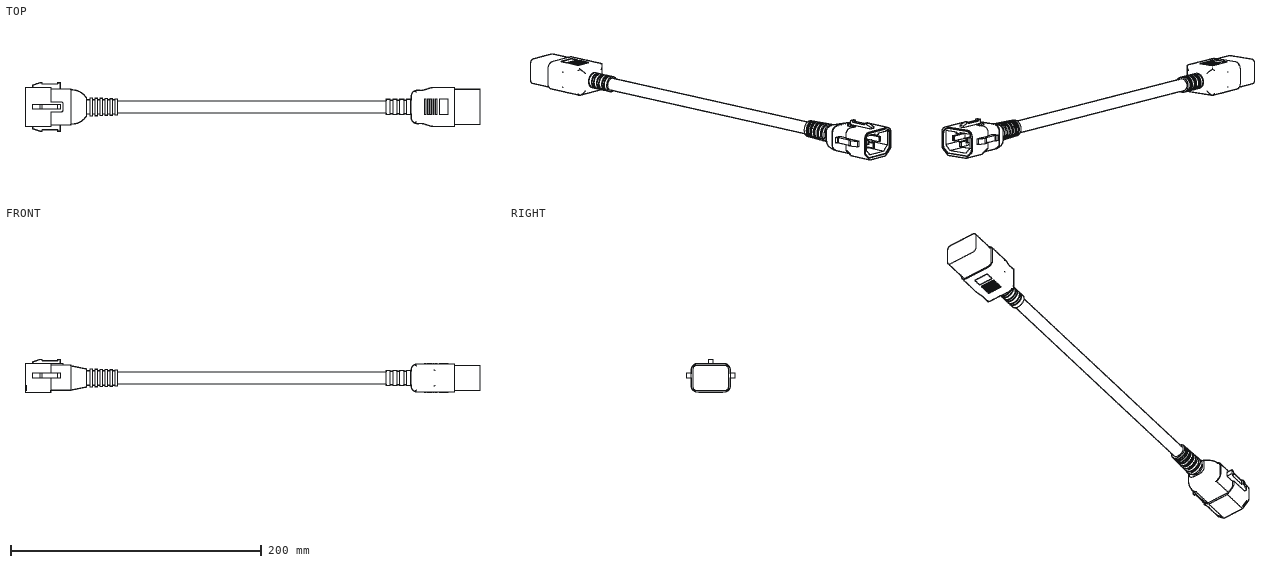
import cadquery as cq

TOTAL_LENGTH = 363.2
TOTAL_WIDTH = 39.0
CABLE_DIAMETER = 9.8

SHROUD_LENGTH = 20.5
SHROUD_HALF_WIDTH = 15.5
SHROUD_TOP = 11.5
SHROUD_BOTTOM = -SHROUD_TOP
GRIP_END = 36.5
GRIP_HALF_WIDTH = 14.5
GRIP_TOP = 10.5
GRIP_BOTTOM = -9.8
TOP_CORNER_RADIUS = 5.0
BEVEL_TOP = -5.8
BEVEL_WIDTH_PER_HEIGHT = 1.1
BEVEL_EDGE_RADIUS = 3.3

TONGUE_END = 30.0
TONGUE_WIDTH = 8.0
TONGUE_CORNER_RADIUS = 1.5

CAVITY_DEPTH = 17.5
CAVITY_HALF_WIDTH = 12.5
CAVITY_TOP = 8.5
CAVITY_BOTTOM = -7.5
CAVITY_BEVEL = 4.5
CAVITY_KEY_WIDTH = 4.0
CAVITY_KEY_HEIGHT = 1.0

RIM_RECESS = 1.0

PIN_TIP = 3.5
PIN_TIP_CHAMFER = 0.7
PIN_THICKNESS = 2.0
PIN_HEIGHT = 4.0
PIN_SPACING = 7.0
PIN_HEIGHT_OFFSET = PIN_HEIGHT / 2

LATCH_START = 5.8
LATCH_END = 28.0
LATCH_RIDGE_START = 11.5
LATCH_RIDGE_END = 13.5
LATCH_TOOTH_START = 25.8
LATCH_LEAD_IN_DROP = 2.0
LATCH_SEAT_DROP = 1.0
LATCH_ROOT_DROP = 5.8
TOP_LATCH_REACH = SHROUD_TOP + 3.3
TOP_LATCH_WIDTH = 3.5
SIDE_LATCH_REACH = TOTAL_WIDTH / 2
SIDE_LATCH_WIDTH = 4.5
SIDE_LATCH_HEIGHT = 2.0

NECK_END = 49.0
NECK_START_HALF_WIDTH = 13.8
NECK_MIDDLE = (44.0, 12.0)
NECK_END_SLOPE = -1.2
NECK_END_HALF_WIDTH = 7.3
NECK_START_TOP = 9.8
NECK_START_BOTTOM = -NECK_START_TOP
NECK_EDGE_RADIUS = 4.5

INLET_RELIEF_END = 73.7
INLET_RELIEF_CORE_RADIUS = 5.8
INLET_RING_COUNT = 6
INLET_RING_PITCH = 4.0
INLET_RING_WIDTH = 2.0
INLET_RING_FIRST_RADIUS = 7.3
INLET_RING_LAST_RADIUS = 6.5
OUTLET_RELIEF_START = 288.0
OUTLET_RELIEF_CORE_RADIUS = 5.5
OUTLET_RING_COUNT = 4
OUTLET_RING_PITCH = 5.5
OUTLET_RING_WIDTH = 3.3
OUTLET_RING_RADIUS = 6.0

OUTLET_BODY_START = 308.0
COLLAR_START = 327.5
COLLAR_END = 343.0
COLLAR_HALF_WIDTH = 15.5
OUTLET_HALF_HEIGHT = 11.3
COLLAR_CORNER_RADIUS = 5.0
BODY_HALF_WIDTH = 13.5
BODY_CORNER_RADIUS = 2.0
BODY_END_RADIUS = 5.0
FLARE_START = 314.0
FLARE_LOW = 319.0
FLARE_LOW_HALF_WIDTH = 13.8
FLARE_LOW_CORNER_RADIUS = 3.0
FLARE_HIGH = 323.3
FLARE_HIGH_HALF_WIDTH = 15.3
FLARE_HIGH_CORNER_RADIUS = 4.5
NOSE_HALF_WIDTH = 14.0
NOSE_HALF_HEIGHT = 10.0
NOSE_CORNER_RADIUS = 3.3


RAISED_HEIGHT = 0.5
BUTTON_RIB_START = 319.0
BUTTON_RIB_COUNT = 5
BUTTON_RIB_PITCH = 2.0
BUTTON_RIB_WIDTH = 1.0
BUTTON_WIDTH = 12.5
BUTTON_PAD_START = 331.0
BUTTON_PAD_END = 337.5


def box(x_start, x_end, y_start, y_end, z_start, z_end):
    """Box between opposite corners."""
    size = (x_end - x_start, y_end - y_start, z_end - z_start)
    return cq.Workplane("XY").box(*size, centered=False).translate((x_start, y_start, z_start))


def rod(x_start, x_end, radius):
    """Cylinder on the X axis."""
    return cq.Workplane("YZ", origin=(x_start, 0, 0)).circle(radius).extrude(x_end - x_start)


def bevelled_block(x_start, x_end, half_width, top, bottom, bevel_top, bevel_width):
    """Block along X whose two lower corners are cut off at a slant."""
    outline = [
        (-half_width, top),
        (half_width, top),
        (half_width, bevel_top),
        (half_width - bevel_width, bottom),
        (bevel_width - half_width, bottom),
        (-half_width, bevel_top),
    ]
    return cq.Workplane("YZ", origin=(x_start, 0, 0)).polyline(outline).close().extrude(x_end - x_start)


def inlet_block(x_start, x_end, half_width, top, bottom):
    """Length of the inlet housing with rounded top corners and soft bevels."""
    bevel_width = (BEVEL_TOP - bottom) * BEVEL_WIDTH_PER_HEIGHT
    block = bevelled_block(x_start, x_end, half_width, top, bottom, BEVEL_TOP, bevel_width)
    block = block.edges("|X and (>Y or <Y)").edges("<Z").fillet(BEVEL_EDGE_RADIUS)
    return block.edges("|X and >Z").fillet(TOP_CORNER_RADIUS)


def latch(reach, width):
    """Latch arm standing up in Z, centred on the middle plane: ramp, ridge, seat and tooth."""
    root = reach - LATCH_ROOT_DROP
    seat = reach - LATCH_SEAT_DROP
    profile = [
        (LATCH_START, root),
        (LATCH_START, reach - LATCH_LEAD_IN_DROP),
        (LATCH_RIDGE_START, reach),
        (LATCH_RIDGE_END, reach),
        (LATCH_RIDGE_END, seat),
        (LATCH_TOOTH_START, seat),
        (LATCH_TOOTH_START, reach),
        (LATCH_END, reach),
        (LATCH_END, root),
    ]
    return cq.Workplane("XZ").polyline(profile).close().extrude(width / 2, both=True)


def latches():
    """One latch on top and one on either side."""
    arms = latch(TOP_LATCH_REACH, TOP_LATCH_WIDTH)
    for angle in (-90, 90):
        side_arm = latch(SIDE_LATCH_REACH, SIDE_LATCH_WIDTH).rotate((0, 0, 0), (1, 0, 0), angle)
        arms = arms.union(side_arm.translate((0, 0, SIDE_LATCH_HEIGHT)))
    return arms


def neck():
    """Hull narrowing from the grip to the strain relief in both directions."""
    plan = (
        cq.Workplane("XY", origin=(0, 0, NECK_START_BOTTOM))
        .moveTo(GRIP_END, 0)
        .lineTo(GRIP_END, NECK_START_HALF_WIDTH)
        .spline(
            [NECK_MIDDLE, (NECK_END, NECK_END_HALF_WIDTH)],
            tangents=[(1, 0), (1, NECK_END_SLOPE)],
            includeCurrent=True,
        )
        .lineTo(NECK_END, 0)
        .mirrorX()
        .extrude(NECK_START_TOP - NECK_START_BOTTOM)
    )
    side_outline = [
        (GRIP_END, NECK_START_TOP),
        (NECK_END, NECK_END_HALF_WIDTH),
        (NECK_END, -NECK_END_HALF_WIDTH),
        (GRIP_END, NECK_START_BOTTOM),
    ]
    side = cq.Workplane("XZ").polyline(side_outline).close().extrude(NECK_START_HALF_WIDTH, both=True)
    return plan.intersect(side).edges("not(|Y or |Z)").fillet(NECK_EDGE_RADIUS)


def pins():
    """Three flat contact pins reaching forward from the cavity floor."""
    places = [
        (-PIN_SPACING, PIN_HEIGHT_OFFSET),
        (PIN_SPACING, PIN_HEIGHT_OFFSET),
        (0, -PIN_HEIGHT_OFFSET),
    ]
    return (
        cq.Workplane("YZ", origin=(PIN_TIP, 0, 0))
        .pushPoints(places)
        .rect(PIN_THICKNESS, PIN_HEIGHT)
        .extrude(CAVITY_DEPTH - PIN_TIP)
        .faces("<X")
        .edges()
        .chamfer(PIN_TIP_CHAMFER)
    )


def inlet_relief():
    """Core with evenly spaced rings that shrink towards the cable."""
    relief = rod(NECK_END, INLET_RELIEF_END, INLET_RELIEF_CORE_RADIUS)
    shrink = (INLET_RING_FIRST_RADIUS - INLET_RING_LAST_RADIUS) / (INLET_RING_COUNT - 1)
    for index in range(INLET_RING_COUNT):
        ring_end = INLET_RELIEF_END - (INLET_RING_COUNT - 1 - index) * INLET_RING_PITCH
        radius = INLET_RING_FIRST_RADIUS - index * shrink
        relief = relief.union(rod(ring_end - INLET_RING_WIDTH, ring_end, radius))
    return relief


def cavity():
    """Hollow around the pins with bevelled lower corners and a key rib along its roof."""
    hollow = bevelled_block(
        0,
        CAVITY_DEPTH,
        CAVITY_HALF_WIDTH,
        CAVITY_TOP,
        CAVITY_BOTTOM,
        CAVITY_BOTTOM + CAVITY_BEVEL,
        CAVITY_BEVEL,
    )
    key = box(
        0,
        CAVITY_DEPTH,
        -CAVITY_KEY_WIDTH / 2,
        CAVITY_KEY_WIDTH / 2,
        CAVITY_TOP - CAVITY_KEY_HEIGHT,
        CAVITY_TOP,
    )
    return hollow.cut(key)


def make_inlet():
    """Housing with its neck, strain relief and latches, hollowed out around the pins."""
    housing = inlet_block(0, SHROUD_LENGTH, SHROUD_HALF_WIDTH, SHROUD_TOP, SHROUD_BOTTOM)
    housing = housing.union(
        inlet_block(SHROUD_LENGTH, GRIP_END, GRIP_HALF_WIDTH, GRIP_TOP, GRIP_BOTTOM)
    )
    tongue = box(SHROUD_LENGTH, TONGUE_END, -TONGUE_WIDTH / 2, TONGUE_WIDTH / 2, 0, SHROUD_TOP)
    tongue = tongue.edges("|Z and >X").fillet(TONGUE_CORNER_RADIUS)
    housing = housing.union(tongue).union(latches()).union(neck()).union(inlet_relief())
    rim = inlet_block(0, RIM_RECESS, GRIP_HALF_WIDTH, GRIP_TOP, GRIP_BOTTOM)
    return housing.cut(rim).cut(cavity()).union(pins())


def make_cable():
    """Round cable butting against both strain reliefs."""
    return rod(INLET_RELIEF_END, OUTLET_RELIEF_START, CABLE_DIAMETER / 2)


def rounded_bar(x_start, x_end, half_width, half_height, corner_radius):
    """Rectangular bar along X with rounded long edges."""
    bar = box(x_start, x_end, -half_width, half_width, -half_height, half_height)
    return bar.edges("|X").fillet(corner_radius)


def rounded_end():
    """Cable end of the outlet body, its end edges rounded in plan and in height."""
    bar = rounded_bar(
        OUTLET_BODY_START, FLARE_START, BODY_HALF_WIDTH, OUTLET_HALF_HEIGHT, BODY_CORNER_RADIUS
    )
    block = box(
        OUTLET_BODY_START,
        FLARE_START,
        -BODY_HALF_WIDTH,
        BODY_HALF_WIDTH,
        -OUTLET_HALF_HEIGHT,
        OUTLET_HALF_HEIGHT,
    )
    round_in_plan = block.edges("|Z and <X").fillet(BODY_END_RADIUS)
    round_in_height = block.edges("|Y and <X").fillet(BODY_END_RADIUS)
    return bar.intersect(round_in_plan).intersect(round_in_height)


def outlet_section(x, half_width, corner_radius):
    """Rounded rectangular outline across the outlet at the given X."""
    bar = rounded_bar(x, COLLAR_END, half_width, OUTLET_HALF_HEIGHT, corner_radius)
    return bar.faces("<X").wires().val()


def flare():
    """Smooth widening from the rounded end to the collar."""
    sections = [
        outlet_section(FLARE_START, BODY_HALF_WIDTH, BODY_CORNER_RADIUS),
        outlet_section(FLARE_LOW, FLARE_LOW_HALF_WIDTH, FLARE_LOW_CORNER_RADIUS),
        outlet_section(FLARE_HIGH, FLARE_HIGH_HALF_WIDTH, FLARE_HIGH_CORNER_RADIUS),
        outlet_section(COLLAR_START, COLLAR_HALF_WIDTH, COLLAR_CORNER_RADIUS),
    ]
    return cq.Workplane(cq.Solid.makeLoft(sections))


def outlet_relief():
    """Core with equal rings, the last one running into the outlet body."""
    relief = rod(OUTLET_RELIEF_START, OUTLET_BODY_START, OUTLET_RELIEF_CORE_RADIUS)
    for index in range(OUTLET_RING_COUNT):
        ring_start = OUTLET_RELIEF_START + index * OUTLET_RING_PITCH
        ring_end = min(ring_start + OUTLET_RING_WIDTH, OUTLET_BODY_START)
        relief = relief.union(rod(ring_start, ring_end, OUTLET_RING_RADIUS))
    return relief


def raised_bar(x_start, x_end):
    """Low bar across the button width, standing out above and below the outlet."""
    height = OUTLET_HALF_HEIGHT + RAISED_HEIGHT
    return box(x_start, x_end, -BUTTON_WIDTH / 2, BUTTON_WIDTH / 2, -height, height)


def make_outlet():
    """Strain relief, flared body, collar, nose and button in one piece."""
    outlet = rounded_end().union(flare()).union(outlet_relief())
    outlet = outlet.union(
        rounded_bar(COLLAR_START, COLLAR_END, COLLAR_HALF_WIDTH, OUTLET_HALF_HEIGHT, COLLAR_CORNER_RADIUS)
    )
    outlet = outlet.union(
        rounded_bar(COLLAR_END, TOTAL_LENGTH, NOSE_HALF_WIDTH, NOSE_HALF_HEIGHT, NOSE_CORNER_RADIUS)
    )
    for index in range(BUTTON_RIB_COUNT):
        rib_start = BUTTON_RIB_START + index * BUTTON_RIB_PITCH
        outlet = outlet.union(raised_bar(rib_start, rib_start + BUTTON_RIB_WIDTH))
    return outlet.union(raised_bar(BUTTON_PAD_START, BUTTON_PAD_END))


inlet = make_inlet()
cable = make_cable()
outlet = make_outlet()

result = cq.Compound.makeCompound([inlet.val(), cable.val(), outlet.val()])